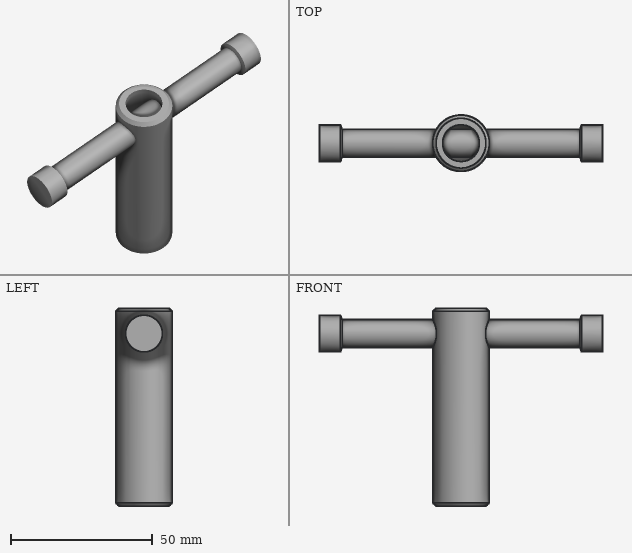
import cadquery as cq
import math

sleeve_diameter = 20.0
sleeve_height = 70.0
sleeve_chamfer = 1.2
bore_diameter = 13.0
bore_depth = 20.0
bore_tip_angle = 118.0

bar_length = 100.0
bar_diameter = 10.0
bar_height = 61.0
knob_diameter = 13.0
knob_length = 8.0
knob_taper_length = 0.6


def make_bar_rod():
    """Plain rod over the full handle length; it also sizes the cross hole."""
    return (
        cq.Workplane("YZ", origin=(-bar_length / 2, 0, bar_height))
        .circle(bar_diameter / 2)
        .extrude(bar_length)
    )


def make_bore():
    """Blind bore from the top face, ending in a conical drill point."""
    radius = bore_diameter / 2
    floor_z = sleeve_height - bore_depth
    tip_z = floor_z - radius / math.tan(math.radians(bore_tip_angle / 2))
    return (
        cq.Workplane("XZ")
        .moveTo(0, sleeve_height)
        .lineTo(radius, sleeve_height)
        .lineTo(radius, floor_z)
        .lineTo(0, tip_z)
        .close()
        .revolve(360, (0, 0), (0, 1))
    )


def make_sleeve():
    """Chamfered cylinder with a blind bore and a cross hole for the bar."""
    outside = (
        cq.Workplane("XY")
        .circle(sleeve_diameter / 2)
        .extrude(sleeve_height)
        .edges()
        .chamfer(sleeve_chamfer)
    )
    return outside.cut(make_bore()).cut(make_bar_rod())


def make_knob(side):
    """End knob on the -X (side = -1) or +X (side = 1) end, tapering down to the rod."""
    end_x = side * bar_length / 2
    rim_x = end_x - side * (knob_length - knob_taper_length)
    neck_x = end_x - side * knob_length
    return (
        cq.Workplane("XZ", origin=(0, 0, bar_height))
        .moveTo(end_x, 0)
        .lineTo(end_x, knob_diameter / 2)
        .lineTo(rim_x, knob_diameter / 2)
        .lineTo(neck_x, bar_diameter / 2)
        .lineTo(neck_x, 0)
        .close()
        .revolve(360, (0, 0), (1, 0))
    )


def make_handle_bar():
    """Rod and its two end knobs, one solid."""
    handle = make_bar_rod()
    for side in (-1, 1):
        handle = handle.union(make_knob(side))
    return handle


sleeve = make_sleeve()
handle_bar = make_handle_bar()

result = cq.Compound.makeCompound([sleeve.val(), handle_bar.val()])